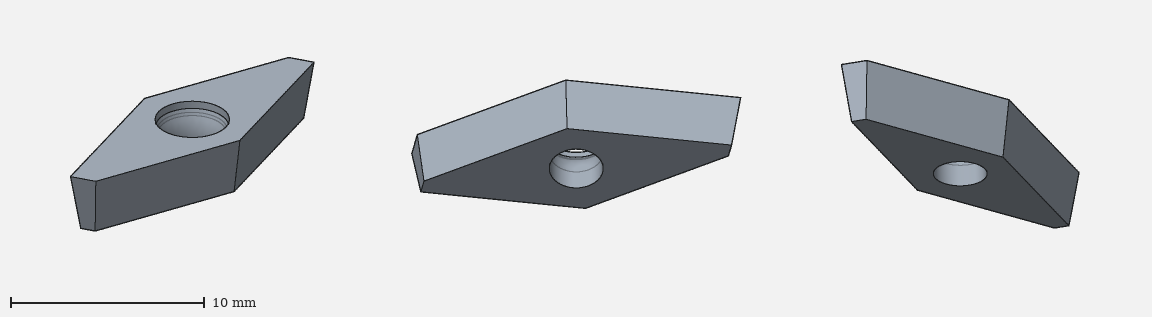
import cadquery as cq
import math

length = 16.95
width = 6.32
thickness = 3.19
clearance_angle = 7.0

tip_angle = 35.0
tip_x = -2.07
end_edge_y = 7.6

mouth_radius = 1.92
recess_radius = 1.88
recess_depth = 0.4
seat_top_radius = 1.8
seat_top_depth = 0.6
throat_top_radius = 1.73
throat_top_depth = 0.75
bore_radius = 1.39
bore_depth = 2.0


def make_body():
    """Truncated rhombic plate whose sides all lean inward towards the bottom."""
    side_x = width / 2
    tip_y = length / 2
    shoulder_y = tip_y - (side_x - tip_x) / math.tan(math.radians(tip_angle))
    half_outline = [(-side_x, end_edge_y), (tip_x, tip_y), (side_x, shoulder_y)]
    outline = half_outline + [(-x, -y) for x, y in half_outline]
    return (
        cq.Workplane("XY")
        .workplane(offset=thickness)
        .polyline(outline)
        .close()
        .extrude(-thickness, taper=clearance_angle)
    )


def make_screw_hole():
    """Revolved hole with a rounded throat that runs tangent into the bore."""
    throat_drop = bore_depth - throat_top_depth
    throat_step = throat_top_radius - bore_radius
    arc_radius = (throat_drop**2 + throat_step**2) / (2 * throat_step)
    half_sweep = math.asin(throat_drop / arc_radius) / 2
    arc_middle = (
        bore_radius + arc_radius * (1 - math.cos(half_sweep)),
        thickness - bore_depth + arc_radius * math.sin(half_sweep),
    )
    return (
        cq.Workplane("XZ")
        .moveTo(0, thickness)
        .lineTo(mouth_radius, thickness)
        .lineTo(recess_radius, thickness - recess_depth)
        .lineTo(seat_top_radius, thickness - seat_top_depth)
        .lineTo(throat_top_radius, thickness - throat_top_depth)
        .threePointArc(arc_middle, (bore_radius, thickness - bore_depth))
        .lineTo(bore_radius, 0)
        .lineTo(0, 0)
        .close()
        .revolve(360, (0, 0, 0), (0, 1, 0))
    )


result = make_body().cut(make_screw_hole())